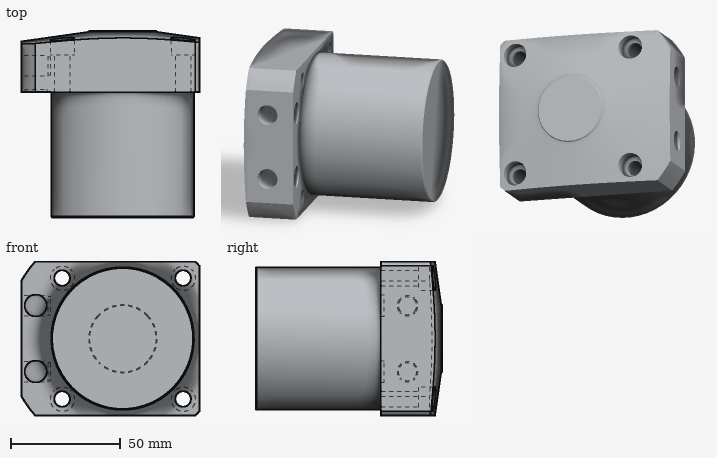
import cadquery as cq
import math


port_side = 46.0
plain_side = 35.0
flange_height = 70.0
port_corner_radius = 53.0
plain_corner_chamfer = 2.0

overall_back = 28.0
pad_height = 0.6
pad_base_radius = 15.5
pad_top_radius = 15.1
cone_slope = math.tan(math.radians(8.1))
cone_top = overall_back - pad_height

barrel_diameter = 65.0
barrel_length = 57.0
barrel_chamfer = 0.5

mount_diameter = 7.0
mount_spacing = 55.0
counterbore_diameter = 11.0
counterbore_floor = 17.0

port_spacing = 30.0
port_diameter = 9.3
port_depth = 12.0
port_bottom_diameter = 8.2
port_bottom_depth = 1.0
port_back = 12.0
recess_diameter = 10.0
recess_depth = 1.3
recess_x = -39.5


def disc_along_y(radius, y_start, y_end, x=0.0, z=0.0):
    """Cylinder parallel to Y between two Y positions."""
    base = cq.Vector(x, y_start, z)
    return cq.Workplane(cq.Solid.makeCylinder(radius, y_end - y_start, base, cq.Vector(0, 1, 0)))


def make_flange():
    """Rectangular block with turned and chamfered corners and a conical back."""
    block = cq.Workplane("XY").box(
        port_side + plain_side, overall_back, flange_height, centered=(False, False, True)
    ).translate((-port_side, 0, 0))
    block = block.edges("|Y and >X").chamfer(plain_corner_chamfer)
    rim_y = cone_top - (port_corner_radius - pad_base_radius) * cone_slope
    turned_blank = (
        cq.Workplane("XY")
        .moveTo(0, 0)
        .lineTo(port_corner_radius, 0)
        .lineTo(port_corner_radius, rim_y)
        .lineTo(pad_base_radius, cone_top)
        .lineTo(pad_top_radius, overall_back)
        .lineTo(0, overall_back)
        .close()
        .revolve(360, (0, 0, 0), (0, 1, 0))
    )
    return block.intersect(turned_blank)


def make_barrel():
    """Motor barrel with a chamfered free end."""
    barrel = disc_along_y(barrel_diameter / 2, -barrel_length, 0)
    return barrel.faces("<Y").chamfer(barrel_chamfer)


def mounting_hole(x, z):
    """Through hole with a screw head counterbore sunk from the domed back."""
    bore = disc_along_y(mount_diameter / 2, 0, overall_back, x, z)
    return bore.union(disc_along_y(counterbore_diameter / 2, counterbore_floor, overall_back, x, z))


def port_cutter(z):
    """Blind port entering the -X side, with a narrower bottom step."""
    mouth = cq.Vector(-port_side, port_back, z)
    inward = cq.Vector(1, 0, 0)
    bore = cq.Solid.makeCylinder(port_diameter / 2, port_depth, mouth, inward)
    step = cq.Solid.makeCylinder(port_bottom_diameter / 2, port_depth + port_bottom_depth, mouth, inward)
    return cq.Workplane(bore.fuse(step))


def seal_recess(z):
    """Shallow round recess in the flange seat, beside a port."""
    return disc_along_y(recess_diameter / 2, 0, recess_depth, recess_x, z)


result = make_flange().union(make_barrel())

mount_offset = mount_spacing / 2
for mount_x in (-mount_offset, mount_offset):
    for mount_z in (-mount_offset, mount_offset):
        result = result.cut(mounting_hole(mount_x, mount_z))

port_offset = port_spacing / 2
for port_z in (-port_offset, port_offset):
    result = result.cut(port_cutter(port_z))
    result = result.cut(seal_recess(port_z))